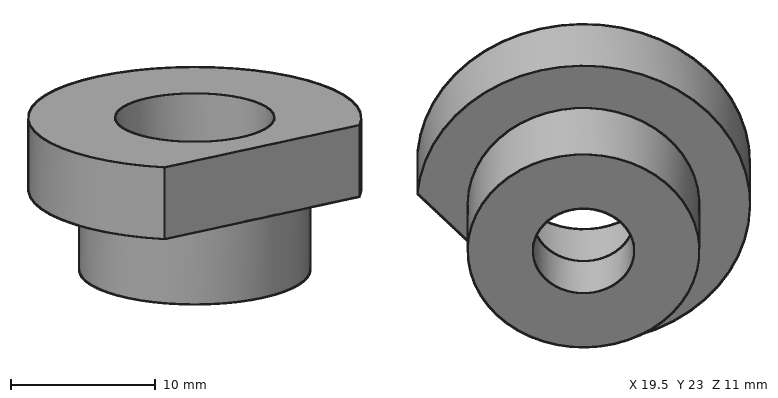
import cadquery as cq

total_height = 11.0
flange_diameter = 23.0
flange_thickness = 5.2
boss_diameter = 16.0

counterbore_diameter = 11.0
counterbore_depth = 7.0
through_hole_diameter = 7.0

boss_height = total_height - flange_thickness
flat_x = boss_diameter / 2


def make_boss():
    return cq.Workplane("XY").circle(boss_diameter / 2).extrude(boss_height)


def make_flange():
    """Round flange on top of the boss, with its +X side cut flat."""
    disc = (
        cq.Workplane("XY")
        .workplane(offset=boss_height)
        .circle(flange_diameter / 2)
        .extrude(flange_thickness)
    )
    beyond_flat = (
        cq.Workplane("XY")
        .box(flange_diameter, flange_diameter, total_height, centered=(False, True, False))
        .translate((flat_x, 0, 0))
    )
    return disc.cut(beyond_flat)


def cut_stepped_bore(body):
    """Through hole with a wide counterbore entering from the flange face."""
    return (
        body.faces(">Z")
        .workplane(origin=(0, 0, total_height))
        .cboreHole(through_hole_diameter, counterbore_diameter, counterbore_depth)
    )


result = cut_stepped_bore(make_boss().union(make_flange()))